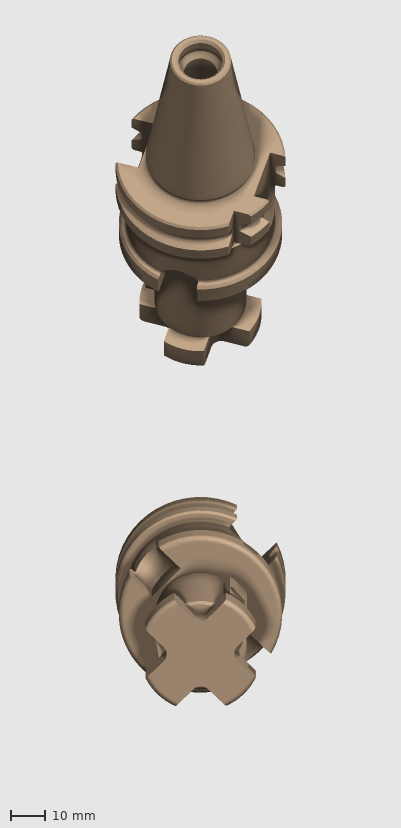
import cadquery as cq

total_height = 131.8
head_top = 8.3
ring_bottom = 41.3
ring_top = 49.3
flange_bottom = 65.0
flange_top = 80.9
gauge_height = 82.9

shank_top_radius = 9.0
shank_gauge_radius = 16.1
shank_top_chamfer = 0.5
shank_neck_radius = 15.5
shank_neck_top = 82.2
shank_neck_fillet = 0.7

flange_diameter = 50.0
flange_radius = flange_diameter / 2
flange_chamfer = 0.7
groove_root_radius = 22.1
groove_upper_edge = 76.2
groove_root_top = 74.6
groove_root_bottom = 71.5
groove_lower_edge = 69.9
groove_root_fillet = 0.7

body_radius = 21.9
body_fillet = 0.8
ring_radius = 24.0
ring_top_chamfer = 0.8
ring_bottom_fillet = 1.6

spigot_diameter = 27.0
spigot_radius = spigot_diameter / 2
spigot_chamfer = 0.8
relief_radius = 13.3
relief_height = 2.0

head_radius = 17.9
head_fillet = 1.6
lobe_width = 12.3
lobe_corner_fillet = 3.0

flange_slot_width = 16.3
flange_slot_bottom = 57.1
left_slot_floor = 16.5
right_slot_floor = 18.8

notch_x = 14.8
notch_y = -14.9

ring_slot_width = 12.1
ring_slot_top = 53.5
ring_slot_floor = 14.1

key_width = 7.0
key_bottom = 11.1
key_top = 36.4
key_face = 15.8
key_hole_diameter = 6.3
key_hole_depth = 2.6
key_socket_diameter = 2.8
key_socket_depth = 1.3

bore_mouth_radius = 7.2
bore_mouth_chamfer = 0.8
bore_pilot_radius = 6.5
bore_pilot_depth = 3.3
bore_relief_radius = 6.7
bore_relief_depth = 5.1
bore_cone_height = 1.3
bore_radius = 4.9
bore_depth = 23.7


def turned_body():
    """Shank, flange, body, ring and spigot as one revolved profile of (radius, height)."""
    profile = (
        cq.Workplane("XZ")
        .moveTo(0, head_top)
        .lineTo(spigot_radius - spigot_chamfer, head_top)
        .lineTo(spigot_radius, head_top + spigot_chamfer)
        .lineTo(spigot_radius, ring_bottom - relief_height)
        .lineTo(relief_radius, ring_bottom - relief_height / 2)
        .lineTo(relief_radius, ring_bottom)
        .lineTo(ring_radius - ring_bottom_fillet, ring_bottom)
        .radiusArc((ring_radius, ring_bottom + ring_bottom_fillet), -ring_bottom_fillet)
        .lineTo(ring_radius, ring_top - ring_top_chamfer)
        .lineTo(ring_radius - ring_top_chamfer, ring_top)
        .lineTo(body_radius + body_fillet, ring_top)
        .radiusArc((body_radius, ring_top + body_fillet), body_fillet)
        .lineTo(body_radius, flange_bottom - body_fillet)
        .radiusArc((body_radius + body_fillet, flange_bottom), body_fillet)
        .lineTo(flange_radius - flange_chamfer, flange_bottom)
        .lineTo(flange_radius, flange_bottom + flange_chamfer)
        .lineTo(flange_radius, groove_lower_edge)
        .lineTo(groove_root_radius, groove_root_bottom)
        .lineTo(groove_root_radius, groove_root_top)
        .lineTo(flange_radius, groove_upper_edge)
        .lineTo(flange_radius, flange_top - flange_chamfer)
        .lineTo(flange_radius - flange_chamfer, flange_top)
        .lineTo(shank_neck_radius + shank_neck_fillet, flange_top)
        .radiusArc((shank_neck_radius, flange_top + shank_neck_fillet), shank_neck_fillet)
        .lineTo(shank_neck_radius, shank_neck_top)
        .lineTo(shank_gauge_radius, gauge_height)
        .lineTo(shank_top_radius, total_height - shank_top_chamfer)
        .lineTo(shank_top_radius - shank_top_chamfer, total_height)
        .lineTo(0, total_height)
        .close()
    )
    body = profile.revolve(360, (0, 0, 0), (0, 1, 0))
    groove_root = cq.selectors.BoxSelector(
        (-flange_radius, -flange_radius, groove_lower_edge + groove_root_fillet),
        (flange_radius, flange_radius, groove_upper_edge - groove_root_fillet),
        boundingbox=True,
    )
    return body.edges("%CIRCLE").edges(groove_root).fillet(groove_root_fillet)


def screw_head():
    """Cross of four lobes with rounded inner corners, trimmed to a disc with a rounded bottom edge."""
    span = 2 * head_radius
    cross = (
        cq.Workplane("XY")
        .rect(span, lobe_width)
        .extrude(head_top)
        .union(cq.Workplane("XY").rect(lobe_width, span).extrude(head_top))
    )
    corner_box = cq.selectors.BoxSelector((-lobe_width, -lobe_width, 0), (lobe_width, lobe_width, head_top))
    cross = cross.edges("|Z").edges(corner_box).fillet(lobe_corner_fillet)
    disc = cq.Workplane("XY").circle(head_radius).extrude(head_top)
    return cross.intersect(disc.faces("<Z").fillet(head_fillet))


def flange_slot(side, floor):
    """Cutter for one flange slot; side is -1 or +1 along X."""
    radius = flange_slot_width / 2
    center_height = flange_slot_bottom + radius
    outline = (
        cq.Workplane("YZ", origin=(side * floor, 0, 0))
        .moveTo(-radius, flange_top)
        .lineTo(-radius, center_height)
        .threePointArc((0, flange_slot_bottom), (radius, center_height))
        .lineTo(radius, flange_top)
        .close()
    )
    return outline.extrude(side * flange_radius)


def ring_slot(side):
    """Cutter for one ring slot; side is -1 or +1 along Y."""
    radius = ring_slot_width / 2
    center_height = ring_slot_top - radius
    outline = (
        cq.Workplane("XZ", origin=(0, side * ring_slot_floor, 0))
        .moveTo(-radius, ring_bottom)
        .lineTo(-radius, center_height)
        .threePointArc((0, ring_slot_top), (radius, center_height))
        .lineTo(radius, ring_bottom)
        .close()
    )
    return outline.extrude(-side * ring_radius)


def flange_notch():
    """Cutter for the square notch through the full flange thickness."""
    return (
        cq.Workplane("XY", origin=(notch_x, notch_y, flange_bottom))
        .rect(flange_radius, -flange_radius, centered=False)
        .extrude(flange_top - flange_bottom)
    )


def feather_key():
    """Round-ended key on the -X side with its screw hole."""
    key_length = key_top - key_bottom
    face = cq.Workplane("YZ", origin=(-key_face, 0, (key_bottom + key_top) / 2))
    key = face.slot2D(key_length, key_width, 90).extrude(key_face)
    hole = face.circle(key_hole_diameter / 2).extrude(key_hole_depth)
    socket = face.circle(key_socket_diameter / 2).extrude(key_hole_depth + key_socket_depth)
    return key, hole.union(socket)


def shank_bore():
    """Cutter for the chamfered bore, with its relief and cone, in the small end of the shank."""
    pilot_bottom = total_height - bore_pilot_depth
    relief_bottom = total_height - bore_relief_depth
    return (
        cq.Workplane("XZ")
        .moveTo(0, total_height)
        .lineTo(bore_mouth_radius, total_height)
        .lineTo(bore_pilot_radius, total_height - bore_mouth_chamfer)
        .lineTo(bore_pilot_radius, pilot_bottom)
        .lineTo(bore_relief_radius, pilot_bottom)
        .lineTo(bore_relief_radius, relief_bottom)
        .lineTo(bore_radius, relief_bottom - bore_cone_height)
        .lineTo(bore_radius, total_height - bore_depth)
        .lineTo(0, total_height - bore_depth)
        .close()
        .revolve(360, (0, 0, 0), (0, 1, 0))
    )


key, key_hole = feather_key()
result = turned_body()
result = result.cut(flange_slot(-1, left_slot_floor)).cut(flange_slot(1, right_slot_floor))
result = result.cut(ring_slot(-1)).cut(ring_slot(1))
result = result.cut(flange_notch()).cut(shank_bore())
result = result.union(key).cut(key_hole)
result = result.union(screw_head())